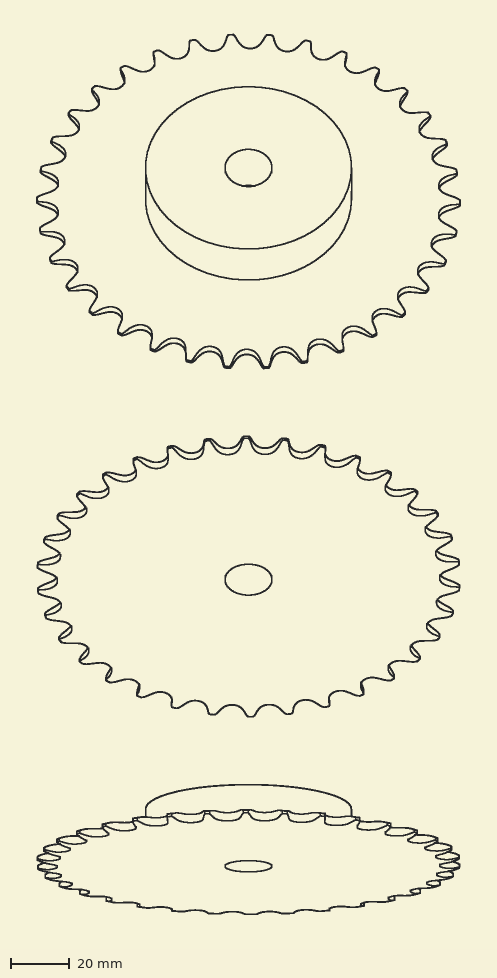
import cadquery as cq
import math

tooth_count = 34
half_step = math.pi / tooth_count
tip_radius = 71.8
plate_thickness = 2.9
total_height = 20.0
hub_diameter = 70.0
bore_diameter = 16.0

pitch_radius = 68.8
seat_diameter = 7.9
seat_radius = seat_diameter / 2
seat_half_angle = math.radians(53.2)
working_radius = 10.2
working_sweep = math.radians(16.4)
flank_length = 1.08
topping_radius = 6.3

relief_start_radius = 66.9
relief_arc_radius = 2 * pitch_radius * math.sin(half_step)


def turned(point, angle):
    """Rotate a point about the sprocket axis."""
    x, y = point
    return (
        x * math.cos(angle) - y * math.sin(angle),
        x * math.sin(angle) + y * math.cos(angle),
    )


def mirrored(point):
    """Reflect a point across the X axis."""
    return (point[0], -point[1])


def moved(point, normal_angle, distance):
    """Shift a point along the normal that leads from the roller gap into the tooth."""
    return (
        point[0] - distance * math.cos(normal_angle),
        point[1] + distance * math.sin(normal_angle),
    )


roller_centre = (pitch_radius, 0)
root_point = moved(roller_centre, 0, seat_radius)
seat_end = moved(roller_centre, seat_half_angle, seat_radius)

flank_angle = seat_half_angle + working_sweep
working_centre = moved(seat_end, seat_half_angle, -working_radius)
working_end = moved(working_centre, flank_angle, working_radius)

flank_end = (
    working_end[0] + flank_length * math.sin(flank_angle),
    working_end[1] + flank_length * math.cos(flank_angle),
)

topping_centre = moved(flank_end, flank_angle, topping_radius)
topping_distance = math.hypot(*topping_centre)
topping_span = math.acos(
    (tip_radius**2 + topping_distance**2 - topping_radius**2) / (2 * tip_radius * topping_distance)
)
tip_end_angle = math.atan2(topping_centre[1], topping_centre[0]) - topping_span
tip_end = turned((tip_radius, 0), tip_end_angle)


def toothed_prism():
    """Extrude the sprocket outline, with one tooth centred on +X."""
    outline = cq.Workplane("XY").moveTo(*turned(mirrored(tip_end), half_step))
    for gap in range(tooth_count):
        gap_angle = (2 * gap + 1) * half_step
        next_tooth_angle = gap_angle + half_step
        next_gap_angle = next_tooth_angle + half_step
        outline = (
            outline.radiusArc(turned(mirrored(flank_end), gap_angle), -topping_radius)
            .lineTo(*turned(mirrored(working_end), gap_angle))
            .radiusArc(turned(mirrored(seat_end), gap_angle), working_radius)
            .threePointArc(turned(root_point, gap_angle), turned(seat_end, gap_angle))
            .radiusArc(turned(working_end, gap_angle), working_radius)
            .lineTo(*turned(flank_end, gap_angle))
            .radiusArc(turned(tip_end, gap_angle), -topping_radius)
            .threePointArc(
                turned((tip_radius, 0), next_tooth_angle),
                turned(mirrored(tip_end), next_gap_angle),
            )
        )
    return outline.close().extrude(plate_thickness)


def relieved_disc():
    """Disc whose rim thins towards the tooth tips on both faces."""

    def relief_depth(radius):
        run = radius - relief_start_radius
        return relief_arc_radius - math.sqrt(relief_arc_radius**2 - run**2)

    middle_radius = (relief_start_radius + tip_radius) / 2
    middle_depth = relief_depth(middle_radius)
    tip_depth = relief_depth(tip_radius)
    return (
        cq.Workplane("XZ")
        .lineTo(relief_start_radius, 0)
        .threePointArc((middle_radius, middle_depth), (tip_radius, tip_depth))
        .lineTo(tip_radius, plate_thickness - tip_depth)
        .threePointArc(
            (middle_radius, plate_thickness - middle_depth),
            (relief_start_radius, plate_thickness),
        )
        .lineTo(0, plate_thickness)
        .close()
        .revolve(360, (0, 0, 0), (0, 1, 0))
    )


plate = toothed_prism().intersect(relieved_disc())
hub = cq.Workplane("XY").circle(hub_diameter / 2).extrude(total_height)
bore = cq.Workplane("XY").circle(bore_diameter / 2).extrude(total_height)

result = plate.union(hub).cut(bore)